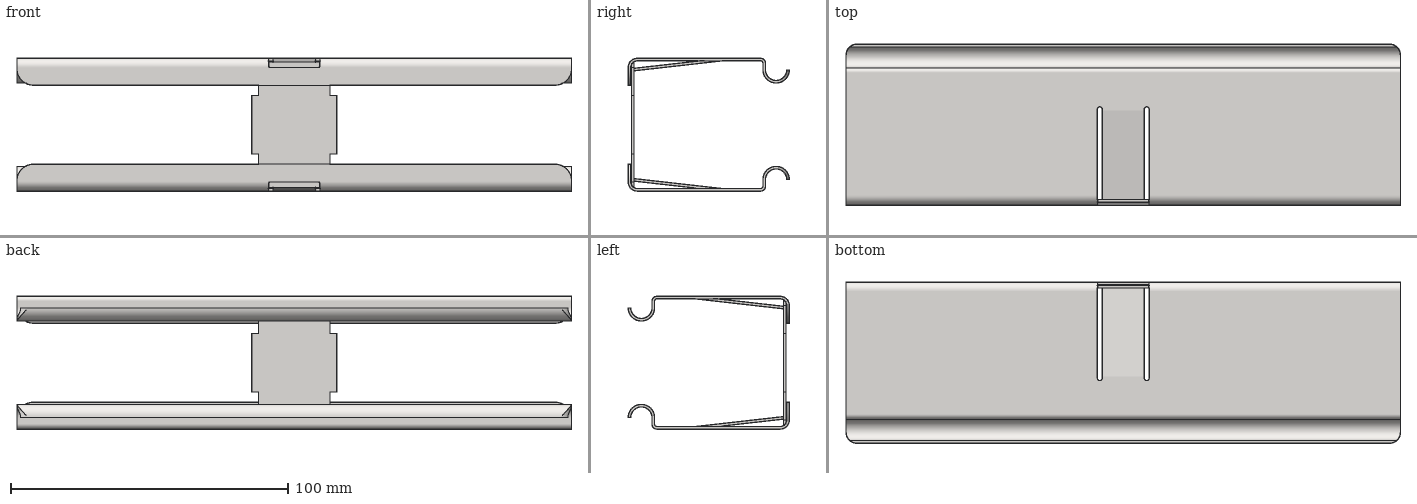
import cadquery as cq

length = 200.0
depth = 58.2
height = 48.0
front = -depth / 2
back = depth / 2
top = height / 2

sheet = 1.0
lip_height = 9.8
lip_bend_radius = 3.5
lip_corner_radius = 6.0
hook_radius = 4.8
hook_drop = 9.0
hook_corner_radius = 4.0
step_bend_radius = 1.8
hook_center_y = back - hook_radius
hook_center_z = top - hook_drop + hook_radius
step_y = hook_center_y - hook_radius + sheet

window_width = 18.5
tongue_width = 15.2
slot_end_y = 6.5
window_corner_radius = 0.8
tongue_root_y = 5.0
tongue_drop = 3.5
slot_width = (window_width - tongue_width) / 2
slot_center_x = (window_width - slot_width) / 2
slot_straight_y = slot_end_y - slot_width / 2

plate_thickness = 1.0
plate_gap = 0.2
plate_width = 30.8
plate_middle_height = 21.2
neck_width = 25.8
neck_height = height - 2 * lip_bend_radius
tab_width = 18.2
tab_setback = 1.5
plate_front = front + sheet + plate_gap
plate_back = plate_front + plate_thickness


def arc_mid(center_y, center_z, radius, side_y):
    """Middle point of an upper quarter bend facing +Y or -Y."""
    reach = radius * 0.5 ** 0.5
    return center_y + side_y * reach, center_z + reach


def rail_sheet():
    """Upper rail as a bent sheet of constant thickness."""
    lip_center_y = front + lip_bend_radius
    lip_center_z = top - lip_bend_radius
    lip_inner_radius = lip_bend_radius - sheet
    step_center_y = step_y - step_bend_radius
    step_center_z = top - step_bend_radius
    step_inner_radius = step_bend_radius - sheet
    hook_inner_radius = hook_radius - sheet
    profile = (
        cq.Workplane("YZ", origin=(-length / 2, 0, 0))
        .moveTo(front, top - lip_height)
        .lineTo(front, lip_center_z)
        .threePointArc(arc_mid(lip_center_y, lip_center_z, lip_bend_radius, -1), (lip_center_y, top))
        .lineTo(step_center_y, top)
        .threePointArc(arc_mid(step_center_y, step_center_z, step_bend_radius, 1), (step_y, step_center_z))
        .lineTo(step_y, hook_center_z)
        .threePointArc(
            (hook_center_y, hook_center_z - hook_inner_radius),
            (hook_center_y + hook_inner_radius, hook_center_z),
        )
        .lineTo(back, hook_center_z)
        .threePointArc((hook_center_y, hook_center_z - hook_radius), (step_y - sheet, hook_center_z))
        .lineTo(step_y - sheet, step_center_z)
        .threePointArc(
            arc_mid(step_center_y, step_center_z, step_inner_radius, 1),
            (step_center_y, top - sheet),
        )
        .lineTo(lip_center_y, top - sheet)
        .threePointArc(
            arc_mid(lip_center_y, lip_center_z, lip_inner_radius, -1),
            (front + sheet, lip_center_z),
        )
        .lineTo(front + sheet, top - lip_height)
        .close()
    )
    return profile.extrude(length)


def round_rail_corners(rail):
    """Round the lower lip corners and the outer hook corners."""
    lip_outline = (
        cq.Workplane("XY")
        .box(length, depth, lip_height, centered=(True, True, False))
        .translate((0, 0, top - lip_height))
        .edges("|Y and <Z")
        .fillet(lip_corner_radius)
    )
    front_zone = cq.Workplane("XY").box(length, depth, height).translate((0, -depth / 2, 0))
    hook_outline = cq.Workplane("XY").box(length, depth, height).edges("|Z and >Y").fillet(hook_corner_radius)
    lip_side = rail.intersect(front_zone).intersect(lip_outline)
    hook_side = rail.cut(front_zone).intersect(hook_outline)
    return lip_side.union(hook_side)


def tongue():
    """Sloping tongue from the web down to the back of the plate."""
    return (
        cq.Workplane("YZ")
        .moveTo(slot_straight_y, top)
        .lineTo(tongue_root_y, top)
        .lineTo(plate_back, top - tongue_drop)
        .lineTo(plate_back, top - tongue_drop - sheet)
        .lineTo(tongue_root_y, top - sheet)
        .lineTo(slot_straight_y, top - sheet)
        .close()
        .extrude(tongue_width / 2, both=True)
    )


def tongue_window():
    """Opening through web and bend, ending in a round slot at each side of the tongue."""
    opening = (
        cq.Workplane("XY", origin=(0, front, top - lip_bend_radius))
        .box(window_width, slot_straight_y - front, lip_bend_radius, centered=(True, False, False))
        .edges("|Y and <Z")
        .fillet(window_corner_radius)
    )
    slot_ends = (
        cq.Workplane("XY", origin=(0, 0, top - lip_bend_radius))
        .pushPoints([(-slot_center_x, slot_straight_y), (slot_center_x, slot_straight_y)])
        .circle(slot_width / 2)
        .extrude(lip_bend_radius)
    )
    return opening.union(slot_ends)


def upper_rail():
    return round_rail_corners(rail_sheet()).cut(tongue_window()).union(tongue())


def plate_block(width, block_height):
    return (
        cq.Workplane("XY")
        .box(width, plate_thickness, block_height)
        .translate((0, (plate_front + plate_back) / 2, 0))
    )


def plate():
    middle = plate_block(plate_width, plate_middle_height)
    neck = plate_block(neck_width, neck_height)
    tabs = plate_block(tab_width, height - 2 * tab_setback)
    return middle.union(neck).union(tabs)


rail = upper_rail()
result = rail.union(rail.mirror("XY")).union(plate())